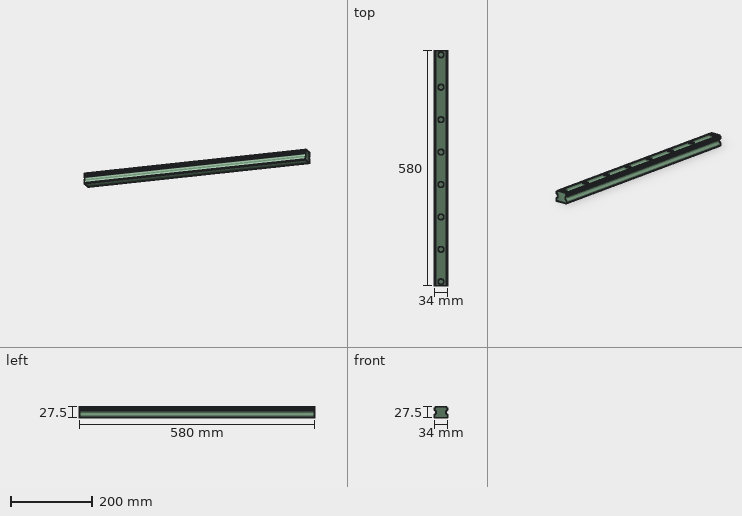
import cadquery as cq

rail_width = 34.0
rail_length = 580.0
rail_height = 27.5
half_width = rail_width / 2

base_chamfer_width = 2.0
base_chamfer_height = 1.8
base_corner_height = 6.85

waist_half_width = 12.4
flank_corner_radius = 1.3

band_mid_height = 21.75
band_half_height = 1.55
groove_outer_half_width = 16.7
groove_outer_offset = 1.75
groove_inner_half_width = 14.1
groove_inner_offset = 4.45
groove_depth = 0.8
top_half_width = 13.0

hole_count = 8
hole_pitch = 80.0
cap_diameter = 14.0
cap_recess = 0.2


def groove_points(side):
    """Outer, middle and inner point of the groove above (side 1) or below (side -1) the band."""
    outer = cq.Vector(groove_outer_half_width, band_mid_height + side * groove_outer_offset)
    inner = cq.Vector(groove_inner_half_width, band_mid_height + side * groove_inner_offset)
    chord = inner - outer
    inward = cq.Vector(-abs(chord.y), -side * abs(chord.x)).normalized()
    middle = (outer + inner) * 0.5 + inward * groove_depth
    return [(point.x, point.y) for point in (outer, middle, inner)]


def round_flank_corners(rail, waist_top):
    """Round the long edges from the base corners up to the top of the waist."""
    lowest = (-rail_width, -rail_length, base_corner_height - flank_corner_radius)
    highest = (rail_width, rail_length, waist_top + flank_corner_radius)
    flank_corners = rail.edges("|Y").edges(cq.selectors.BoxSelector(lowest, highest))
    return flank_corners.fillet(flank_corner_radius)


def build_rail():
    upper_outer, upper_middle, upper_inner = groove_points(1)
    lower_outer, lower_middle, lower_inner = groove_points(-1)

    waist_bottom = base_corner_height + half_width - waist_half_width
    waist_top = lower_inner[1] - (lower_inner[0] - waist_half_width)

    half_rail = (
        cq.Workplane("XZ", origin=(0, rail_length / 2, 0))
        .lineTo(half_width - base_chamfer_width, 0)
        .lineTo(half_width, base_chamfer_height)
        .lineTo(half_width, base_corner_height)
        .lineTo(waist_half_width, waist_bottom)
        .lineTo(waist_half_width, waist_top)
        .lineTo(*lower_inner)
        .threePointArc(lower_middle, lower_outer)
        .lineTo(half_width, band_mid_height - band_half_height)
        .lineTo(half_width, band_mid_height + band_half_height)
        .lineTo(*upper_outer)
        .threePointArc(upper_middle, upper_inner)
        .lineTo(top_half_width, rail_height)
        .lineTo(0, rail_height)
        .close()
        .extrude(rail_length)
    )
    rail = half_rail.union(half_rail.mirror("YZ")).clean()
    return round_flank_corners(rail, waist_top)


def cut_cap_recesses(rail):
    return (
        rail.faces(">Z")
        .workplane(origin=(0, 0, rail_height))
        .rarray(1, hole_pitch, 1, hole_count)
        .hole(cap_diameter, cap_recess)
    )


result = cut_cap_recesses(build_rail())